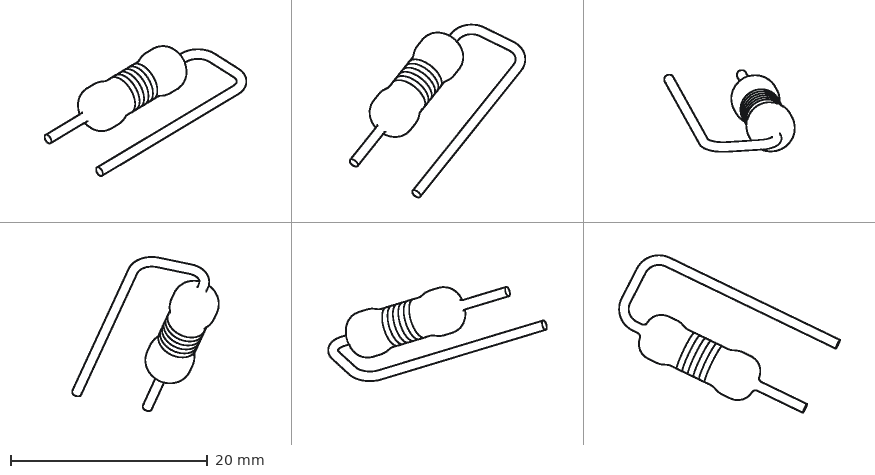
import cadquery as cq
import math

cap_radius = 2.4
waist_diameter = 4.08
band_diameter = 4.1
wire_diameter = 1.0
dome_radius = 1.65
shoulder_radius = 1.55
neck_radius = 0.45
dome_start = 4.69
shoulder_start = 3.65
band_width = 0.63
band_positions = (-2, 0, 2)
lead_pitch = 7.5
bend_radius = 2.0
overall_length = 21.8
lead_top = 9.85

wire_radius = wire_diameter / 2
waist_radius = waist_diameter / 2
lead_end = lead_top - overall_length
bend_top = lead_top - wire_radius
bend_start = bend_top - bend_radius

half_step = (cap_radius - waist_radius) / 2
half_shoulder = math.sqrt(shoulder_radius**2 - (shoulder_radius - half_step)**2)
shoulder_middle = shoulder_start - half_shoulder
shoulder_end = shoulder_middle - half_shoulder

dome_centre_radius = cap_radius - dome_radius
neck_centre_radius = wire_radius + neck_radius
centre_distance = dome_radius + neck_radius
centre_offset = neck_centre_radius - dome_centre_radius
neck_end = dome_start + math.sqrt(centre_distance**2 - centre_offset**2)
tangent_share = dome_radius / centre_distance
dome_end_radius = dome_centre_radius + tangent_share * centre_offset
dome_end = dome_start + tangent_share * (neck_end - dome_start)


def half_body():
    """Revolved +Y half of the body, from its middle to the end of the neck."""
    profile = (
        cq.Workplane("XY")
        .moveTo(0, 0)
        .lineTo(waist_radius, 0)
        .lineTo(waist_radius, shoulder_end)
        .radiusArc((cap_radius - half_step, shoulder_middle), shoulder_radius)
        .radiusArc((cap_radius, shoulder_start), -shoulder_radius)
        .lineTo(cap_radius, dome_start)
        .radiusArc((dome_end_radius, dome_end), -dome_radius)
        .radiusArc((wire_radius, neck_end), neck_radius)
        .lineTo(0, neck_end)
        .close()
    )
    return profile.revolve(360, (0, 0, 0), (0, 1, 0))


def colour_band(position):
    """Slightly raised ring around the waist."""
    start = (position - 0.5) * band_width
    return cq.Workplane("XZ", origin=(0, start, 0)).circle(band_diameter / 2).extrude(-band_width)


def straight_lead():
    """Lead leaving the -Y end of the body."""
    return cq.Workplane("XZ", origin=(0, lead_end, 0)).circle(wire_radius).extrude(lead_end + dome_start)


def bent_lead():
    """Lead leaving the +Y end and folded back beside the body."""
    path = (
        cq.Workplane("XY")
        .moveTo(0, neck_end)
        .lineTo(0, bend_start)
        .radiusArc((bend_radius, bend_top), bend_radius)
        .lineTo(lead_pitch - bend_radius, bend_top)
        .radiusArc((lead_pitch, bend_start), bend_radius)
        .lineTo(lead_pitch, lead_end)
    )
    return cq.Workplane("XZ", origin=(0, neck_end, 0)).circle(wire_radius).sweep(path)


upper_half = half_body()
result = upper_half.union(upper_half.mirror("XZ"))
for band_position in band_positions:
    result = result.union(colour_band(band_position))
result = result.union(straight_lead()).union(bent_lead())